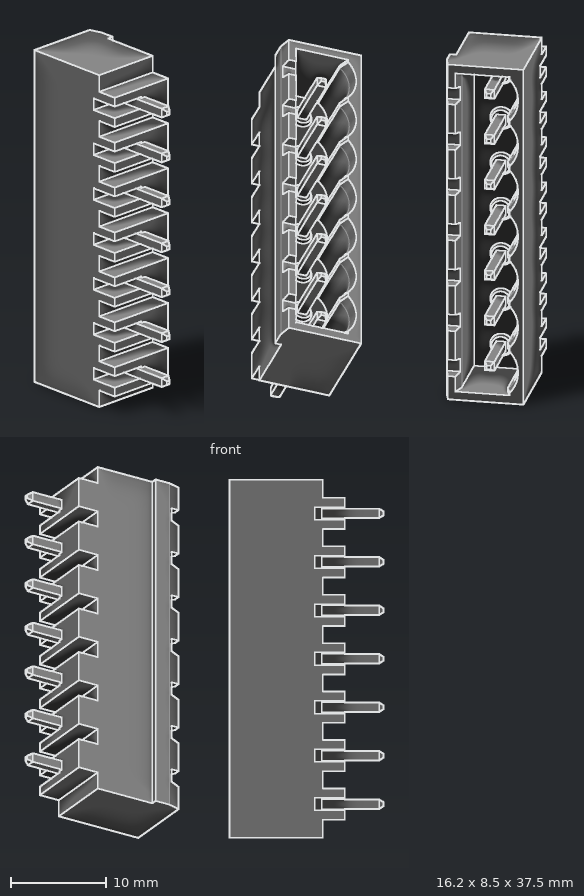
import cadquery as cq

row_length = 37.55
housing_length = 9.8
housing_height = 7.8
end_wall = 0.95

pole_count = 7
first_pole_z = 3.53
pole_pitch = (row_length - 2 * first_pole_z) / (pole_count - 1)
pole_y = 3.9
pole_heights = [first_pole_z + i * pole_pitch for i in range(pole_count)]

lip_top = 8.5
lip_mouth_top = 8.08
lip_ramp_length = 1.4
lip_length = 3.08

cavity_depth = 7.9
lead_in = 1.28
cavity_top = 6.87
mouth_top = 7.3
ridge_top = 1.95
mouth_ridge_top = 1.45
scallop_radius = 3.0
mouth_scallop_radius = 3.35

notch_depth = 1.05
notch_width = 1.43
notch_mouth_width = 1.85
notch_bottom = pole_y

foot_end = 12.15
foot_width = 3.3
slot_start = 8.95
slot_width = 1.3

pin_width = 1.0
tip_width = 0.4
tip_length = 0.5
blade_start = 0.95
tail_start = 9.7
tail_end = 16.2

collar_radius = 1.25
collar_top_radius = 1.0
collar_height = 0.38


def prism_along_z(outline, z_start, z_end):
    return cq.Workplane("XY").workplane(offset=z_start).polyline(outline).close().extrude(z_end - z_start)


def box_between(x_start, x_end, y_start, y_end, z_centre, width):
    size = (x_end - x_start, y_end - y_start, width)
    return cq.Workplane("XY").box(*size, centered=(False, False, True)).translate((x_start, y_start, z_centre))


def disc_cone(start_radius, end_radius, x_start, x_end, z):
    """Cone frustum around the pole axis at height z."""
    outline = [(x_start, 0), (x_start, start_radius), (x_end, end_radius), (x_end, 0)]
    profile = cq.Workplane("XY").polyline(outline).close()
    return profile.revolve(360, (0, 0, 0), (1, 0, 0)).translate((0, pole_y, z))


def tapered_tip(x_base, direction, z):
    """Blunt pyramid on a pin end, pointing along +X (1) or -X (-1)."""
    base = cq.Workplane("YZ").workplane(offset=x_base).center(pole_y, z).rect(pin_width, pin_width)
    return base.workplane(offset=direction * tip_length).rect(tip_width, tip_width).loft(ruled=True)


def make_shell():
    outline = [
        (0, 0),
        (housing_length, 0),
        (housing_length, housing_height),
        (lip_length, housing_height),
        (lip_length, lip_top),
        (lip_ramp_length, lip_top),
        (0, lip_mouth_top),
    ]
    return prism_along_z(outline, 0, row_length)


def make_cavity():
    cavity_walls = [
        (0, mouth_ridge_top),
        (lead_in, ridge_top),
        (cavity_depth, ridge_top),
        (cavity_depth, cavity_top),
        (lead_in, cavity_top),
        (0, mouth_top),
    ]
    scallop_limits = [(0, 0), (cavity_depth, 0)] + cavity_walls[3:]
    cavity = prism_along_z(cavity_walls, end_wall, row_length - end_wall)
    limits = prism_along_z(scallop_limits, end_wall, row_length - end_wall)
    for z in pole_heights:
        flare = disc_cone(mouth_scallop_radius, scallop_radius, 0, lead_in, z)
        bore = disc_cone(scallop_radius, scallop_radius, lead_in, cavity_depth, z)
        cavity = cavity.union(flare.union(bore).intersect(limits))
    return cavity


def make_notch(z):
    outline = [
        (0, z - notch_mouth_width / 2),
        (notch_depth, z - notch_width / 2),
        (notch_depth, z + notch_width / 2),
        (0, z + notch_mouth_width / 2),
    ]
    top = cq.Workplane("XZ", origin=(0, lip_top, 0))
    return top.polyline(outline).close().extrude(lip_top - notch_bottom)


def make_foot(z):
    return box_between(housing_length, foot_end, 0, housing_height, z, foot_width)


def make_slot(z):
    return box_between(slot_start, foot_end, 0, pole_y, z, slot_width)


def make_blade(z):
    base_x = blade_start + tip_length
    near_side = pole_y - pin_width / 2
    shank = box_between(base_x, cavity_depth, near_side, near_side + pin_width, z, pin_width)
    collar = disc_cone(collar_top_radius, collar_radius, cavity_depth - collar_height, cavity_depth, z)
    return shank.union(tapered_tip(base_x, -1, z)).union(collar)


def make_tail(z):
    base_x = tail_end - tip_length
    near_side = pole_y - pin_width / 2
    shank = box_between(tail_start, base_x, near_side, near_side + pin_width, z, pin_width)
    return shank.union(tapered_tip(base_x, 1, z))


result = make_shell().cut(make_cavity())
for pole_z in pole_heights:
    result = result.cut(make_notch(pole_z))
    result = result.union(make_foot(pole_z)).cut(make_slot(pole_z))
    result = result.union(make_blade(pole_z)).union(make_tail(pole_z))